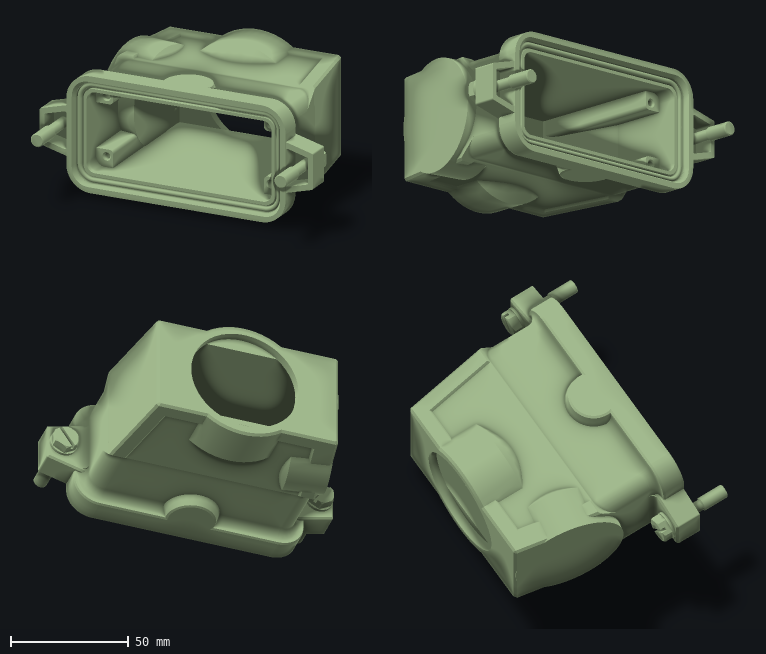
import cadquery as cq
import math


hood_length = 80.0
slope = math.tan(math.radians(10))

flange_x, flange_z = 52.0, 26.5
flange_height = 10.4
flange_corner = 11.5
bevel_run, bevel_drop = 1.0, 0.4
neck_x, neck_z = 46.8, 21.45
neck_corner = 7.0
neck_blend = 4.0

body_shoulder_y = 38.0
panel_z = 22.0
frame_z = 23.0
frame_width = 6.7
recess_y = 73.2
recess_wall_angle = 45
edge_chamfer = 1.0
shoulder_offset = 16.8
body_back_x = neck_x - (hood_length - body_shoulder_y) * slope

back_boss_radius = 28.5
back_boss_length = 20.0
back_hole_radius = 24.25
side_boss_radius = 25.0
side_boss_length = 18.1
side_boss_y = 55.0
side_boss_x = -neck_x
side_boss_axis = (1, -slope, 0)
side_plug_radius = 21.0

cavity_x, cavity_z = 43.8, 18.35
cavity_back_x = 35.5
cavity_back_y = 76.0
cavity_corner = 4.0

seat_depth = 3.0
rim_width = 2.6
seat_taper = 1.0
mouth_depth = 2.0
groove_depth = 2.0
inner_rim_width = 1.5
seal_width = 2.1
seal_gap = 0.2
seal_rise = 0.5
seal_round = 0.499 * seal_width

post_x, post_z = 35.8, 10.3
post_end_y = 12.2
post_round = 1.8
post_hole_x, post_hole_z = 38.8, 13.5
post_hole_diameter = 2.8
post_hole_mouth = 3.9
post_hole_depth = 12.0

pad_foot_radius = 12.5
pad_rim_radius = 10.9
pad_centre_y = 11.8

ear_tip_x = 64.75
ear_tip_z, ear_root_z = 8.1, 11.5
ear_bottom_y, ear_top_y = 0.3, 12.0
ear_round = 0.8
ear_wall = 2.2
ear_side_wall = 2.7
ear_narrowing = (ear_root_z - ear_tip_z) / (ear_tip_x - flange_x)
ear_floor = 2.5
ear_blend_radius = 2.7
ear_blend_z = 11.0

screw_x = 57.8
washer_diameter, washer_height = 12.2, 1.3
head_flats, head_height = 10.2, 4.2
head_corners = head_flats / math.cos(math.pi / 6)
head_turn = 30.0
head_chamfer = 0.7
slot_width, slot_depth = 1.5, 2.4
slot_angle = 56.0
shank_diameter, shank_end_y = 4.8, -4.6
thread_diameter, thread_end_y = 6.1, -16.6
thread_chamfer = 0.4


def section(y):
    """Workplane across the hood at height y, with local axes X and Z."""
    return cq.Workplane("XZ", origin=(0, y, 0))


def rounded_block(half_x, half_z, corner, y_start, y_end):
    block = section(y_start).rect(2 * half_x, 2 * half_z).extrude(y_start - y_end)
    return block.edges("|Y").fillet(corner)


def flange_block(inset, y_start, y_end):
    """Block that follows the flange outline at a constant inset."""
    corner = flange_corner - inset
    return rounded_block(flange_x - inset, flange_z - inset, corner, y_start, y_end)


def cylinder(diameter, x, z, y_start, y_end):
    return section(y_start).center(x, z).circle(diameter / 2).extrude(y_start - y_end)


def both_sides(shape, plane):
    return shape.union(shape.mirror(plane))


def make_flange_and_neck():
    flange = rounded_block(flange_x, flange_z, flange_corner, 0, flange_height)
    flange = flange.faces(">Y").edges().chamfer(bevel_run, bevel_drop)
    neck = rounded_block(neck_x, neck_z, neck_corner, 0, panel_z + shoulder_offset)
    base = flange.union(neck)
    margin = bevel_drop / 2
    foot = cq.selectors.BoxSelector(
        (-neck_x - margin, flange_height - margin, -neck_z - margin),
        (neck_x + margin, flange_height + margin, neck_z + margin),
    )
    return base.edges(foot).fillet(neck_blend)


def side_face_x(y):
    """X of the leaning outer face of the side boss."""
    return side_boss_x + (y - side_boss_y) * slope


def make_body():
    outline = [
        (-neck_x, shoulder_offset),
        (neck_x, shoulder_offset),
        (neck_x, body_shoulder_y),
        (body_back_x, hood_length),
        (side_face_x(hood_length), hood_length),
        (side_face_x(side_boss_y), side_boss_y),
        (-neck_x + (side_boss_y - body_shoulder_y) * slope, side_boss_y),
        (-neck_x, body_shoulder_y),
    ]
    body = cq.Workplane("XY").polyline(outline).close().extrude(frame_z, both=True)
    body = body.edges("not(|X or |Y or |Z)").chamfer(edge_chamfer)

    recess_top_x = neck_x - (recess_y - body_shoulder_y) * slope - frame_width
    recess_foot_x = recess_top_x + (recess_y - shoulder_offset) * slope
    recess = (
        cq.Workplane("XY", origin=(0, 0, frame_z))
        .polyline([
            (-recess_foot_x, shoulder_offset),
            (recess_foot_x, shoulder_offset),
            (recess_top_x, recess_y),
            (-recess_top_x, recess_y),
        ])
        .close()
        .extrude(panel_z - frame_z, taper=recess_wall_angle)
    )
    body = body.cut(both_sides(recess, "XY"))

    reach = hood_length - shoulder_offset
    above_shoulders = (
        cq.Workplane("YZ")
        .polyline([(shoulder_offset, 0), (hood_length, reach), (hood_length, -reach)])
        .close()
        .extrude(2 * neck_x, both=True)
    )
    return body.intersect(above_shoulders)


def make_boss(radius, length, start, direction):
    """Cylinder that ends in a 45 degree cone."""
    origin = cq.Vector(*start)
    axis = cq.Vector(*direction).normalized()
    barrel = cq.Solid.makeCylinder(radius, length, origin, axis)
    cone = cq.Solid.makeCone(radius, 0, radius, origin + axis * length, axis)
    return cq.Workplane(barrel).union(cq.Workplane(cone))


def make_bosses():
    back = make_boss(back_boss_radius, back_boss_length, (0, hood_length, 0), (0, -1, 0))
    side = make_boss(
        side_boss_radius, side_boss_length, (side_boss_x, side_boss_y, 0), side_boss_axis
    )
    return back, side


def make_posts():
    depth = cavity_back_y - post_end_y
    width_x = cavity_x - post_x
    width_z = cavity_z - post_z
    post = (
        section(post_end_y)
        .center(post_x + width_x / 2, post_z + width_z / 2)
        .rect(width_x, width_z)
        .extrude(-depth)
        .edges("|Y and <X and <Z")
        .fillet(post_round)
    )
    return both_sides(both_sides(post, "YZ"), "XY")


def make_cavity():
    outline = [
        (-cavity_x, 0),
        (cavity_x, 0),
        (cavity_x, body_shoulder_y),
        (cavity_back_x, cavity_back_y),
        (-cavity_back_x, cavity_back_y),
        (-cavity_x, body_shoulder_y),
    ]
    cavity = cq.Workplane("XY").polyline(outline).close().extrude(cavity_z, both=True)
    opening = rounded_block(cavity_x, cavity_z, cavity_corner, 0, cavity_back_y)
    cavity = cavity.intersect(opening)
    plug = cq.Workplane(
        cq.Solid.makeCylinder(
            side_plug_radius,
            neck_x,
            cq.Vector(side_boss_x, side_boss_y, 0),
            cq.Vector(*side_boss_axis),
        )
    )
    plug_limit = cq.Workplane("XY").box(neck_x, 2 * hood_length, 4 * cavity_z)
    plug = plug.intersect(plug_limit.translate((-cavity_back_x - neck_x / 2, side_boss_y, 0)))
    return cavity.cut(plug).cut(make_posts())


def cut_post_holes(hood):
    mouth = (post_hole_mouth - post_hole_diameter) / 2
    for x in (-post_hole_x, post_hole_x):
        for z in (-post_hole_z, post_hole_z):
            hole_end_y = post_end_y + post_hole_depth
            hole = cylinder(post_hole_diameter, x, z, post_end_y, hole_end_y)
            cone = cq.Solid.makeCone(
                post_hole_mouth / 2,
                post_hole_diameter / 2,
                mouth,
                cq.Vector(x, post_end_y, z),
                cq.Vector(0, 1, 0),
            )
            hood = hood.cut(hole).cut(cq.Workplane(cone))
    return hood


def cut_seal_seat(hood):
    """Stepped seat inside the rim with a groove that holds a rounded seal."""
    groove_outer = rim_width + seat_taper
    rim_outer = flange_x - cavity_x - inner_rim_width
    groove_floor = seat_depth + groove_depth
    mouth = section(0).rect(2 * (flange_x - rim_width), 2 * (flange_z - rim_width))
    mouth_angle = math.degrees(math.atan(seat_taper / mouth_depth))
    mouth = mouth.extrude(-mouth_depth, taper=mouth_angle)
    mouth = mouth.edges("not(|X or |Z)").fillet(flange_corner - rim_width)
    groove = flange_block(groove_outer, 0, groove_floor)
    groove = groove.cut(flange_block(rim_outer, seat_depth, groove_floor))
    seal_outer = groove_outer + seal_gap
    seal_top = seat_depth - seal_rise
    seal = flange_block(seal_outer, seal_top, groove_floor)
    seal = seal.cut(flange_block(seal_outer + seal_width, seal_top, groove_floor))
    seal = seal.faces("<Y").edges().fillet(seal_round)
    return hood.cut(mouth).cut(groove).union(seal)


def make_thumb_pad():
    """Round pad, drafted, standing on the +Z side of the neck and running into the flange."""
    profile = [
        (0, neck_z),
        (pad_foot_radius, neck_z),
        (pad_rim_radius, flange_z - bevel_drop),
        (pad_rim_radius - bevel_run, flange_z),
        (0, flange_z),
    ]
    pad = cq.Workplane("XZ").polyline(profile).close().revolve(360, (0, 0, 0), (0, 1, 0))
    pad = pad.translate((0, pad_centre_y, 0))
    above_face = cq.Workplane("XY").box(4 * pad_foot_radius, hood_length, 4 * flange_z)
    return pad.intersect(above_face.translate((0, bevel_run + hood_length / 2, 0)))


def make_ear():
    """Hollow lug on the +X side, open towards the mating face."""
    inner_z = ear_root_z + (flange_x - neck_x) * ear_narrowing
    outline = [
        (neck_x, -inner_z),
        (ear_tip_x, -ear_tip_z),
        (ear_tip_x, ear_tip_z),
        (neck_x, inner_z),
    ]
    ear = section(ear_bottom_y).polyline(outline).close().extrude(ear_bottom_y - ear_top_y)
    ear = ear.edges("|Y and >X").fillet(ear_round)
    ear = ear.faces(">Y").edges("not <X").chamfer(ear_round)

    blend_end = (neck_x + ear_blend_radius, ear_top_y)
    blend = (
        cq.Workplane("XY")
        .moveTo(neck_x, ear_top_y)
        .lineTo(*blend_end)
        .radiusArc((neck_x, ear_top_y + ear_blend_radius), ear_blend_radius)
        .close()
        .extrude(ear_blend_z, both=True)
    )
    return ear.union(blend)


def make_ear_pocket():
    root_z = ear_root_z - ear_side_wall
    tip_x = ear_tip_x - ear_wall
    tip_z = root_z - (tip_x - flange_x) * ear_narrowing
    outline = [(flange_x, -root_z), (tip_x, -tip_z), (tip_x, tip_z), (flange_x, root_z)]
    depth = ear_top_y - ear_floor - ear_bottom_y
    pocket = section(ear_bottom_y).polyline(outline).close().extrude(-depth)
    return pocket.edges("|Y").fillet(ear_round)


def make_screw():
    """Slotted hexagon screw with washer on the +X ear."""
    washer_top_y = ear_top_y + washer_height
    head_top_y = washer_top_y + head_height
    screw = cylinder(washer_diameter, screw_x, 0, ear_top_y, washer_top_y)
    head = (
        section(washer_top_y)
        .center(screw_x, 0)
        .polygon(6, head_corners)
        .extrude(-head_height)
        .rotate((screw_x, 0, 0), (screw_x, 1, 0), head_turn)
    )
    head_crown = cylinder(head_corners, screw_x, 0, washer_top_y, head_top_y)
    head = head.intersect(head_crown.faces(">Y").edges().chamfer(head_chamfer))
    slot = (
        section(head_top_y - slot_depth)
        .rect(2 * head_flats, slot_width)
        .extrude(-slot_depth)
        .rotate((0, 0, 0), (0, 1, 0), -slot_angle)
        .translate((screw_x, 0, 0))
    )
    shank = cylinder(shank_diameter, screw_x, 0, shank_end_y, ear_top_y)
    thread = cylinder(thread_diameter, screw_x, 0, thread_end_y, shank_end_y)
    thread = thread.faces("<Y or >Y").edges().chamfer(thread_chamfer)
    return screw.union(head.cut(slot)).union(shank).union(thread)


back_boss, side_boss = make_bosses()
hood = make_body().union(back_boss)
hood = hood.faces(">Y").edges().chamfer(edge_chamfer)
hood = hood.union(side_boss).union(make_flange_and_neck())
hood = hood.union(both_sides(make_thumb_pad(), "XY"))
hood = hood.union(both_sides(make_ear(), "YZ"))
hood = hood.cut(make_cavity())
hood = hood.cut(cylinder(2 * back_hole_radius, 0, 0, cavity_back_y, hood_length))
hood = cut_post_holes(hood)
hood = cut_seal_seat(hood)
hood = hood.cut(both_sides(make_ear_pocket(), "YZ"))
result = hood.union(both_sides(make_screw(), "YZ"))